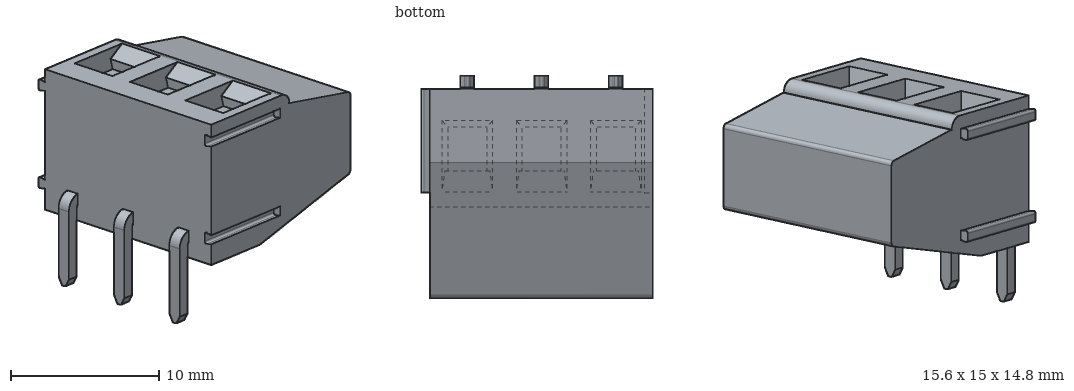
import cadquery as cq
import math


total_length = 15.6
rib_projection = 0.6
body_length = total_length - rib_projection
body_depth = 14.1
body_height = 10.2
pole_count = 3
pole_pitch = body_length / pole_count

underside_depth = 4.93
back_bottom_height = 2.48
back_top_height = 8.36
shoulder_depth = 7.92
shoulder_height = 9.39
shoulder_radius = 0.85
back_corner_radius = 0.31

pocket_top_width = 3.42
pocket_floor_width = 2.64
pocket_depth = 1.34
pocket_front = 2.1
pocket_floor_front = 2.56
pocket_floor_back = 5.52
pocket_back = 6.91
pocket_back_slope_depth = 0.65

rib_length = 6.97
rib_root_height = 0.65
rib_tip_height = 0.86
rib_tip_radius = 0.15
lower_rib_height = 1.84
upper_rib_height = 8.94

pin_width = 0.94
pin_thickness = 0.8
pin_front = -0.9
pin_top = 1.97
pin_bottom = -4.6
pin_bend_radius = 1.05
pin_anchor_depth = 0.78
pin_tip_width = 0.31
pin_tip_height = 0.58
pin_tip_radius = 0.1


def pole_centers():
    return [(pole + 0.5) * pole_pitch for pole in range(pole_count)]


def make_housing():
    arc_center_y = shoulder_depth - shoulder_radius
    arc_center_z = body_height - shoulder_radius
    arc_offset = shoulder_radius * math.sqrt(0.5)
    housing = (
        cq.Workplane("YZ")
        .moveTo(0, 0)
        .lineTo(underside_depth, 0)
        .lineTo(body_depth, back_bottom_height)
        .lineTo(body_depth, back_top_height)
        .lineTo(shoulder_depth, shoulder_height)
        .lineTo(shoulder_depth, arc_center_z)
        .threePointArc(
            (arc_center_y + arc_offset, arc_center_z + arc_offset),
            (arc_center_y, body_height),
        )
        .lineTo(0, body_height)
        .close()
        .extrude(body_length)
    )
    return housing.faces(">Y").edges("|X").fillet(back_corner_radius)


def make_pocket(center_x):
    """Pocket with tapered front and sides and a back wall sloped above a vertical part."""
    floor_z = body_height - pocket_depth
    slope_end_z = body_height - pocket_back_slope_depth
    tapered_width = (
        cq.Workplane("XZ")
        .polyline([
            (center_x - pocket_top_width / 2, body_height),
            (center_x + pocket_top_width / 2, body_height),
            (center_x + pocket_floor_width / 2, floor_z),
            (center_x - pocket_floor_width / 2, floor_z),
        ])
        .close()
        .extrude(-body_depth)
    )
    side_profile = (
        cq.Workplane("YZ")
        .polyline([
            (pocket_front, body_height),
            (pocket_floor_front, floor_z),
            (pocket_floor_back, floor_z),
            (pocket_floor_back, slope_end_z),
            (pocket_back, body_height),
        ])
        .close()
        .extrude(body_length)
    )
    return tapered_width.intersect(side_profile)


def make_rib(root_x, center_z):
    """Dovetail bar that widens away from its root toward -X."""
    tip_x = root_x - rib_projection
    bar = (
        cq.Workplane("XZ")
        .polyline([
            (root_x, center_z - rib_root_height / 2),
            (root_x, center_z + rib_root_height / 2),
            (tip_x, center_z + rib_tip_height / 2),
            (tip_x, center_z - rib_tip_height / 2),
        ])
        .close()
        .extrude(-rib_length)
    )
    return bar.faces("<X").edges("|Y").fillet(rib_tip_radius)


def make_pin(center_x):
    """Flat pin that leaves the front face, bends down and ends in a tapered tip."""
    pin_back = pin_front + pin_thickness
    inner_radius = pin_bend_radius - pin_thickness
    bend_y = pin_front + pin_bend_radius
    bend_z = pin_top - pin_bend_radius
    outer_offset = pin_bend_radius * math.sqrt(0.5)
    inner_offset = inner_radius * math.sqrt(0.5)
    strip = (
        cq.Workplane("YZ", origin=(center_x - pin_width / 2, 0, 0))
        .moveTo(pin_front, pin_bottom)
        .lineTo(pin_front, bend_z)
        .threePointArc((bend_y - outer_offset, bend_z + outer_offset), (bend_y, pin_top))
        .lineTo(pin_anchor_depth, pin_top)
        .lineTo(pin_anchor_depth, pin_top - pin_thickness)
        .lineTo(bend_y, pin_top - pin_thickness)
        .threePointArc((bend_y - inner_offset, bend_z + inner_offset), (pin_back, bend_z))
        .lineTo(pin_back, pin_bottom)
        .close()
        .extrude(pin_width)
    )
    taper_z = pin_bottom + pin_tip_height
    front_outline = (
        cq.Workplane("XZ", origin=(center_x, 0, 0))
        .polyline([
            (-pin_width / 2, body_height),
            (-pin_width / 2, taper_z),
            (-pin_tip_width / 2, pin_bottom),
            (pin_tip_width / 2, pin_bottom),
            (pin_width / 2, taper_z),
            (pin_width / 2, body_height),
        ])
        .close()
        .extrude(body_depth, both=True)
    )
    pin = strip.intersect(front_outline)
    return pin.faces("<Z").edges("|Y").fillet(pin_tip_radius)


result = make_housing()

for rib_height in (lower_rib_height, upper_rib_height):
    result = result.union(make_rib(0, rib_height))
    result = result.cut(make_rib(body_length, rib_height))

for pole_x in pole_centers():
    result = result.cut(make_pocket(pole_x))
    result = result.union(make_pin(pole_x))